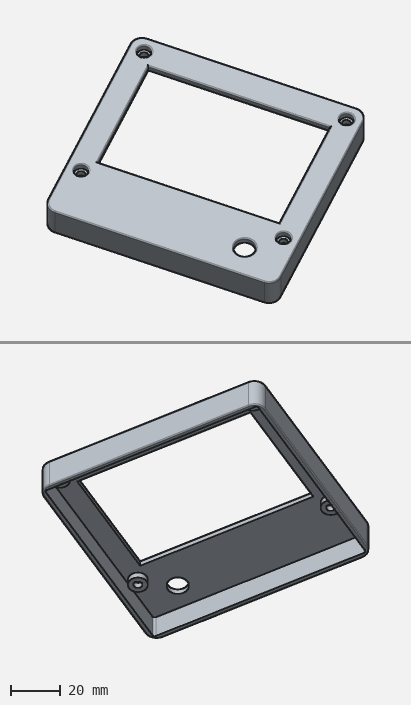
import cadquery as cq

LENGTH = 101.0
WIDTH = 95.0
HEIGHT = 14.0
CORNER_RADIUS = 5.0
WALL = 2.0
PLATE = 3.0
CAVITY_CORNER_RADIUS = 1.0
EDGE_RADIUS = 0.5
TOP_Z = HEIGHT / 2

WINDOW_LENGTH = 79.0
WINDOW_WIDTH = 52.5
WINDOW_Y = 8.5

SCREW_DIAMETER = 3.5
HEAD_DIAMETER = 6.0
HEAD_DEPTH = 3.0
BOSS_DIAMETER = 8.0
BOSS_DEPTH = 6.0
SCREW_SPACING_X = 88.0
SCREW_SPACING_Y = 65.0
SCREW_CENTER_Y = WINDOW_Y

BUTTON_DIAMETER = 9.0
BUTTON_X = 31.5
BUTTON_Y = -34.5


def make_shell():
    """Rounded box with the plate on top and the cavity cut from below."""
    block = (
        cq.Workplane("XY")
        .box(LENGTH, WIDTH, HEIGHT)
        .edges("|Z").fillet(CORNER_RADIUS)
        .faces("<Z or >Z").edges().fillet(EDGE_RADIUS)
    )
    cavity = (
        cq.Workplane("XY", origin=(0, 0, TOP_Z - PLATE))
        .rect(LENGTH - 2 * WALL, WIDTH - 2 * WALL)
        .extrude(PLATE - HEIGHT)
        .edges("|Z").fillet(CAVITY_CORNER_RADIUS)
    )
    return block.cut(cavity)


def cylinder_down(x, y, diameter, start_depth, end_depth):
    """Upright cylinder between two depths below the top face."""
    return (
        cq.Workplane("XY", origin=(x, y, TOP_Z - start_depth))
        .circle(diameter / 2)
        .extrude(start_depth - end_depth)
    )


def screw_positions():
    """Centres of the four screw holes, one near each corner of the window."""
    return [
        (side_x * SCREW_SPACING_X / 2, SCREW_CENTER_Y + side_y * SCREW_SPACING_Y / 2)
        for side_x in (-1, 1)
        for side_y in (-1, 1)
    ]


def add_screw_mounts(body):
    for x, y in screw_positions():
        body = body.union(cylinder_down(x, y, BOSS_DIAMETER, PLATE, BOSS_DEPTH))
        body = body.cut(cylinder_down(x, y, HEAD_DIAMETER, 0, HEAD_DEPTH))
        body = body.cut(cylinder_down(x, y, SCREW_DIAMETER, HEAD_DEPTH, BOSS_DEPTH))
    return body


def make_window_cutter():
    return (
        cq.Workplane("XY", origin=(0, WINDOW_Y, TOP_Z))
        .rect(WINDOW_LENGTH, WINDOW_WIDTH)
        .extrude(-PLATE)
    )


def round_opening_rims(body):
    """Fillet the rim of every opening in the top face."""
    top_face = body.faces(">Z").val()
    rim_edges = [edge for rim in top_face.innerWires() for edge in rim.Edges()]
    return body.newObject(rim_edges).fillet(EDGE_RADIUS)


result = add_screw_mounts(make_shell())
result = result.cut(cylinder_down(BUTTON_X, BUTTON_Y, BUTTON_DIAMETER, 0, PLATE))
result = result.cut(make_window_cutter())
result = round_opening_rims(result)